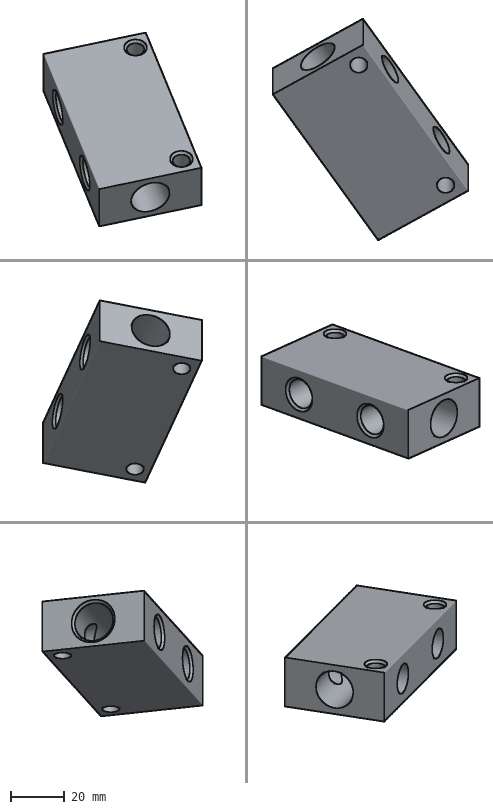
import cadquery as cq

length = 74.0
width = 40.0
height = 20.0
edge_radius = 0.3

countersink_depth = 1.0
main_bore_diameter = 14.95
port_diameter = 11.5
port_offset = 18.0
mount_diameter = 6.5
mount_end_distance = 6.5
mount_back_distance = 6.0


def countersunk_hole(diameter, depth, entry, direction):
    """Cutter for a hole running from entry, with a 45 degree countersink there."""
    radius = diameter / 2
    plane = cq.Plane(origin=entry, normal=direction)
    bore = cq.Workplane(plane).circle(radius).extrude(depth)
    cone = cq.Solid.makeCone(
        radius + countersink_depth, radius, countersink_depth,
        pnt=cq.Vector(*entry), dir=cq.Vector(*direction),
    )
    return bore.union(cq.Workplane(cone))


result = cq.Workplane("XY").box(length, width, height).edges("|X").fillet(edge_radius)

result = result.cut(
    countersunk_hole(main_bore_diameter, length, (-length / 2, 0, 0), (1, 0, 0))
)

mount_x = length / 2 - mount_end_distance
mount_y = width / 2 - mount_back_distance
for side in (-1, 1):
    port_entry = (side * port_offset, -width / 2, 0)
    result = result.cut(countersunk_hole(port_diameter, width, port_entry, (0, 1, 0)))
    mount_entry = (side * mount_x, mount_y, height / 2)
    result = result.cut(countersunk_hole(mount_diameter, height, mount_entry, (0, 0, -1)))